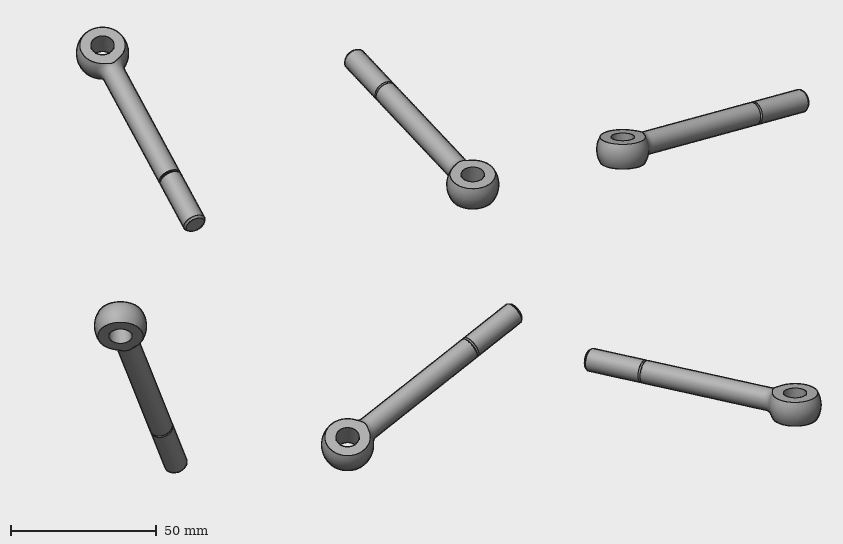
import cadquery as cq
import math

overall_length = 89.0
ball_radius = 9.0
eye_thickness = 9.0
hole_diameter = 8.0
shank_radius = 4.0
neck_fillet_radius = 4.0
end_section_length = 22.0
chamfer_length = 0.8
chamfer_depth = 0.6

tip_x = overall_length - ball_radius
end_section_x = tip_x - end_section_length
chamfered_radius = shank_radius - chamfer_depth

neck_center_y = shank_radius + neck_fillet_radius
neck_center_distance = ball_radius + neck_fillet_radius
neck_end_x = math.sqrt(neck_center_distance**2 - neck_center_y**2)
neck_angle = math.atan2(neck_center_y, neck_end_x)
neck_start = (ball_radius * math.cos(neck_angle), ball_radius * math.sin(neck_angle))


def make_body():
    """Revolve the ball, neck and shank around the X axis."""
    return (
        cq.Workplane("XY")
        .moveTo(-ball_radius, 0)
        .threePointArc((0, ball_radius), neck_start)
        .radiusArc((neck_end_x, shank_radius), -neck_fillet_radius)
        .lineTo(end_section_x, shank_radius)
        .lineTo(end_section_x, chamfered_radius)
        .lineTo(end_section_x + chamfer_length, shank_radius)
        .lineTo(tip_x - chamfer_length, shank_radius)
        .lineTo(tip_x, chamfered_radius)
        .lineTo(tip_x, 0)
        .close()
        .revolve(360, (0, 0, 0), (1, 0, 0))
    )


def flatten_eye(body):
    """Keep the material between the two flat faces of the eye."""
    slab = cq.Workplane("XY").box(2 * overall_length, 2 * ball_radius, eye_thickness)
    return body.intersect(slab)


def cut_eye_hole(body):
    """Bore the eye through along Z."""
    bore = cq.Workplane("XY").circle(hole_diameter / 2).extrude(eye_thickness, both=True)
    return body.cut(bore)


result = cut_eye_hole(flatten_eye(make_body()))